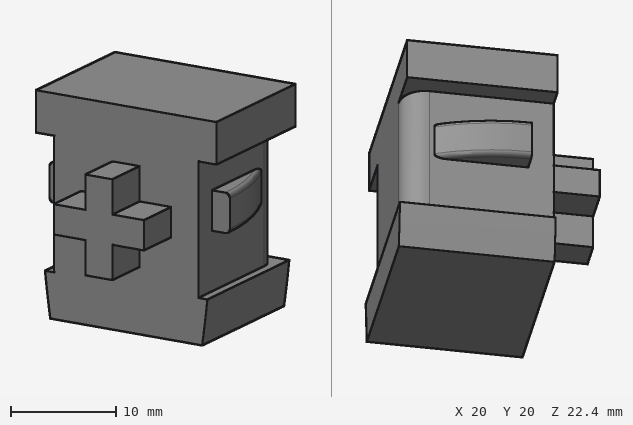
import cadquery as cq

height = 22.4
cap_width = 20.0
cap_height = 4.2
base_depth = 15.0
rear_step = 0.52
body_depth = base_depth - rear_step

body_width = 16.02
body_corner_radius = 2.5

base_height = 4.65
base_top_width = 18.0
base_bottom_width = 16.85
base_side_bulge = 0.02

cross_span = 10.0
cross_arm_width = 3.0
cross_length = 5.0
cross_center_z = 11.7

ear_front_y = 2.46
ear_length = 9.05
ear_height = 4.0
ear_center_z = 12.68
ear_edge_radius = 0.5
ear_overlap = 1.12
ear_projection = (cap_width - body_width) / 2
ear_arc_radius = (ear_length**2 + ear_projection**2) / (2 * ear_projection)


def front_block(width, depth, bottom, top):
    """Box centred on X, reaching back from the front face."""
    return cq.Workplane("XY").box(width, depth, top - bottom, centered=(True, False, False)).translate(
        (0, 0, bottom)
    )


def make_base():
    """Tapered base whose sides bow very slightly outward."""
    bottom_x = base_bottom_width / 2
    top_x = base_top_width / 2
    bowed_x = (bottom_x + top_x) / 2 + base_side_bulge
    return (
        cq.Workplane("XZ")
        .moveTo(-bottom_x, 0)
        .lineTo(bottom_x, 0)
        .threePointArc((bowed_x, base_height / 2), (top_x, base_height))
        .lineTo(-top_x, base_height)
        .threePointArc((-bowed_x, base_height / 2), (-bottom_x, 0))
        .close()
        .extrude(-base_depth)
    )


def make_cross():
    upright = cq.Workplane("XZ").center(0, cross_center_z).rect(cross_arm_width, cross_span)
    crossbar = cq.Workplane("XZ").center(0, cross_center_z).rect(cross_span, cross_arm_width)
    return upright.extrude(cross_length).union(crossbar.extrude(cross_length))


def make_ear():
    """Left ear: its outer face is an arc tangent to the cap side at the front end."""
    outer_x = -cap_width / 2
    side_x = -body_width / 2
    inner_x = side_x + ear_overlap
    rear_y = ear_front_y + ear_length
    mid_y = ear_front_y + ear_length / 2
    arc_center_x = outer_x + ear_arc_radius
    mid_x = arc_center_x - (ear_arc_radius**2 - (mid_y - ear_front_y) ** 2) ** 0.5
    ear = (
        cq.Workplane("XY")
        .moveTo(inner_x, ear_front_y)
        .lineTo(outer_x, ear_front_y)
        .threePointArc((mid_x, mid_y), (side_x, rear_y))
        .lineTo(inner_x, rear_y)
        .close()
        .extrude(ear_height)
        .translate((0, 0, ear_center_z - ear_height / 2))
    )
    return ear.edges("%CIRCLE").fillet(ear_edge_radius)


body = front_block(body_width, body_depth, base_height, height - cap_height)
body = body.edges("|Z and >Y").fillet(body_corner_radius)
cap = front_block(cap_width, body_depth, height - cap_height, height)
left_ear = make_ear()
right_ear = left_ear.mirror("YZ")

result = body.union(cap).union(make_base()).union(make_cross()).union(left_ear).union(right_ear)